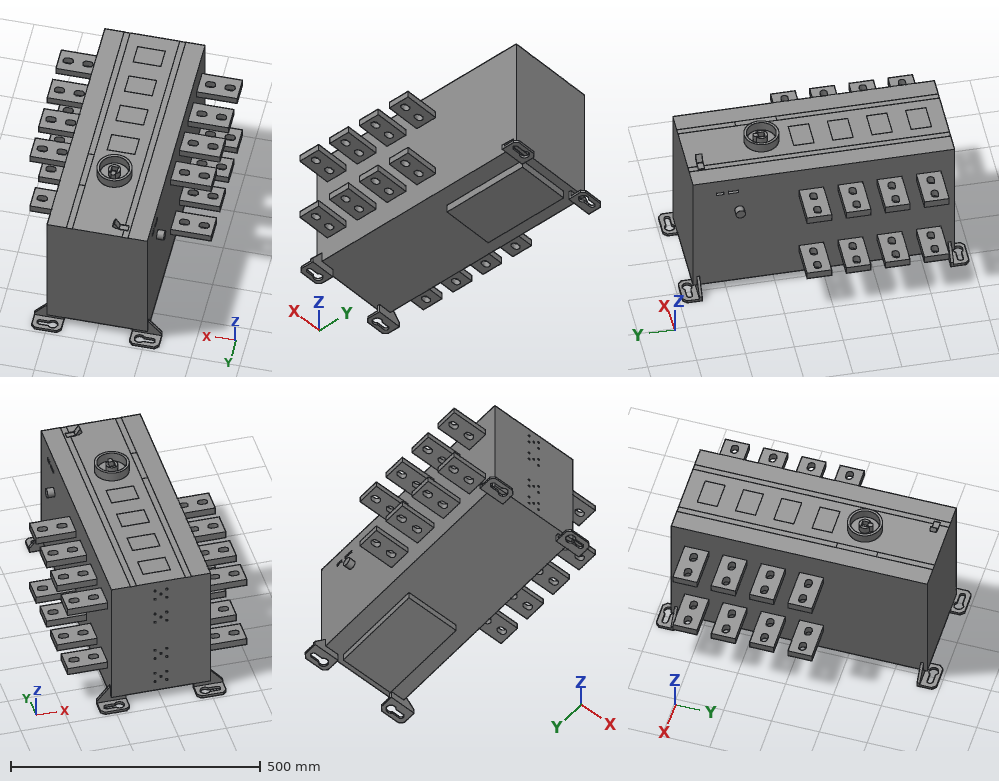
import cadquery as cq

overall_width = 372.5
overall_length = 586.0
overall_height = 314.5

housing_width = 206.0
housing_length = 535.5
housing_bottom = 20.0
knob_height = 20.0
housing_top = overall_height - knob_height
housing_mid_z = (housing_top + housing_bottom) / 2
side_x = housing_width / 2
end_y = housing_length / 2

base_width = 124.0
base_front_y = 45.0
base_back_y = 248.0
base_bottom = 2.0

pole_count = 4
pole_span = 240.0
pole_pitch = pole_span / (pole_count - 1)
first_pole_y = 26.0
pole_ys = [first_pole_y - i * pole_pitch for i in range(pole_count)]
bar_width = 50.5
bar_thickness = 15.0
bar_level_offset = 75.5
bar_slot_length = 20.5
bar_slot_width = 14.0
bar_slot_pitch = 40.5
bar_slot_end_distance = 20.0
bar_slot_outer_x = overall_width / 2 - bar_slot_end_distance
bar_slot_inner_x = bar_slot_outer_x - bar_slot_pitch

mark_depth = 0.5
window_width = 57.0
window_length = 41.5
groove_inner_x = 51.0
groove_outer_x = 63.0
groove_width = groove_outer_x - groove_inner_x
groove_mid_x = (groove_inner_x + groove_outer_x) / 2
insert_front_y = 65.0
insert_back_y = 149.5
insert_height = mark_depth / 2

knob_y = 107.0
collar_diameter = 70.5
collar_bore = 60.0
shaft_diameter = 24.0
shaft_height = 15.0
shaft_socket = 13.0
shaft_socket_depth = 12.0
key_width = 9.5
key_reach = 17.0
key_height = 16.5

latch_y = 241.5
latch_width = 13.0
latch_recess_left_x = -58.5
latch_foot_x = -40.5
latch_tip_x = -27.0
latch_tip_height = 4.5
latch_crown_x = -31.0
latch_height = 14.0
latch_thickness = 7.0
latch_recess_depth = 2.0

button_diameter = 19.5
button_length = 14.5
button_y = 173.0
button_z = 210.5
indicator_height = 6.0
indicator_depth = 9.0
indicator_z = 260.0
indicators = [(212.0, 14.5), (184.5, 20.5)]

hole_diameter = 4.0
hole_depth = 6.0
hole_offset_x = 12.5
hole_offset_z = 10.5
cluster_offsets_z = (46.5, 105.0)

foot_outer_x = 130.5
foot_width = 60.5
foot_inner_x = foot_outer_x - foot_width
foot_thickness = 6.0
foot_outer_y = overall_length / 2
upright_inner_y = 254.5
upright_edge_height = 11.0
upright_height = 43.0
foot_corner = 7.5
keyhole_x = 89.0
keyhole_y = 277.0
keyhole_diameter = 20.0
keyhole_slot_width = 12.0
keyhole_tip_x = 121.5


def box(x0, x1, y0, y1, z0, z1):
    """Block between opposite corners."""
    return cq.Workplane("XY").box(x1 - x0, y1 - y0, z1 - z0, centered=False).translate((x0, y0, z0))


def make_housing():
    shell = box(-side_x, side_x, -end_y, end_y, housing_bottom, housing_top)
    base = box(-base_width / 2, base_width / 2, base_front_y, base_back_y, base_bottom, housing_bottom)
    return shell.union(base)


def make_terminal_bars(level_z):
    """One bar per pole running right through the housing, slotted at both ends."""
    slot_xs = [side * x for side in (-1, 1) for x in (bar_slot_outer_x, bar_slot_inner_x)]
    bars = (
        cq.Workplane("XY", origin=(0, 0, level_z))
        .pushPoints([(0, y) for y in pole_ys])
        .box(overall_width, bar_width, bar_thickness)
    )
    slots = (
        cq.Workplane("XY", origin=(0, 0, level_z - bar_thickness / 2))
        .pushPoints([(x, y) for x in slot_xs for y in pole_ys])
        .slot2D(bar_slot_length, bar_slot_width)
        .extrude(bar_thickness)
    )
    return bars.cut(slots)


def make_lid_marks():
    """Shallow pockets in the lid: pole windows and the two grooves."""
    lid = cq.Workplane("XY", origin=(0, 0, housing_top))
    windows = (
        lid.pushPoints([(0, y) for y in pole_ys])
        .rect(window_width, window_length)
        .extrude(-mark_depth)
    )
    grooves = (
        lid.pushPoints([(-groove_mid_x, 0), (groove_mid_x, 0)])
        .rect(groove_width, housing_length)
        .extrude(-mark_depth)
    )
    insert_bottom = housing_top - mark_depth
    insert = box(
        groove_inner_x, groove_outer_x,
        insert_front_y, insert_back_y,
        insert_bottom, insert_bottom + insert_height,
    )
    return windows.union(grooves).cut(insert)


def make_knob():
    """Collar around a shaft with a square socket and a round-ended key."""
    lid = cq.Workplane("XY", origin=(0, knob_y, housing_top))
    collar = lid.circle(collar_diameter / 2).circle(collar_bore / 2).extrude(knob_height)
    shaft = lid.circle(shaft_diameter / 2).extrude(shaft_height)
    key_start = shaft_socket / 2
    key_tip_y = key_reach - key_width / 2
    key = (
        lid.center(0, (key_start + key_tip_y) / 2)
        .rect(key_width, key_tip_y - key_start)
        .extrude(key_height)
    )
    key_tip = lid.center(0, key_tip_y).circle(key_width / 2).extrude(key_height)
    shaft_top = lid.workplane(offset=shaft_height)
    socket = shaft_top.rect(shaft_socket, shaft_socket).extrude(-shaft_socket_depth)
    return collar.union(shaft.union(key).union(key_tip).cut(socket))


def make_latch_recess():
    return box(
        latch_recess_left_x, latch_foot_x,
        latch_y - latch_width / 2, latch_y + latch_width / 2,
        housing_top - latch_recess_depth, housing_top,
    )


def make_latch():
    """Slanted lever that hooks down at its +X tip."""
    foot_z = housing_top - latch_recess_depth
    heel_x = latch_foot_x + latch_thickness
    return (
        cq.Workplane("XZ", origin=(0, latch_y, 0))
        .moveTo(heel_x, foot_z)
        .lineTo(latch_foot_x, foot_z)
        .lineTo(latch_foot_x, housing_top)
        .lineTo(latch_crown_x, housing_top + latch_height)
        .lineTo(latch_tip_x, housing_top + latch_tip_height)
        .lineTo(heel_x, housing_top)
        .close()
        .extrude(latch_width / 2, both=True)
    )


def make_button():
    return (
        cq.Workplane("YZ", origin=(-side_x, 0, 0))
        .center(button_y, button_z)
        .circle(button_diameter / 2)
        .extrude(-button_length)
    )


def make_indicator_slot(centre_y, length):
    return (
        cq.Workplane("YZ", origin=(-side_x, 0, 0))
        .center(centre_y, indicator_z)
        .rect(length, indicator_height)
        .extrude(indicator_depth)
    )


def make_end_holes():
    pattern = [(0, 0)] + [(sx * hole_offset_x, sz * hole_offset_z) for sx in (-1, 1) for sz in (-1, 1)]
    cluster_zs = [housing_mid_z + side * offset for side in (-1, 1) for offset in cluster_offsets_z]
    return (
        cq.Workplane("XZ", origin=(0, -end_y, 0))
        .pushPoints([(x, z + cluster_z) for cluster_z in cluster_zs for x, z in pattern])
        .circle(hole_diameter / 2)
        .extrude(-hole_depth)
    )


def make_foot():
    """Angle bracket at the +X, +Y corner: keyholed flange and sloped upright."""
    flange = box(foot_inner_x, foot_outer_x, upright_inner_y, foot_outer_y, 0, foot_thickness)
    flange = flange.edges("|Z and >Y").chamfer(foot_corner)

    slot_end_x = keyhole_tip_x - keyhole_slot_width / 2
    plan = cq.Workplane("XY")
    keyhole = (
        plan.center(keyhole_x, keyhole_y).circle(keyhole_diameter / 2).extrude(foot_thickness)
        .union(plan.center(slot_end_x, keyhole_y).circle(keyhole_slot_width / 2).extrude(foot_thickness))
        .union(
            plan.center((keyhole_x + slot_end_x) / 2, keyhole_y)
            .rect(slot_end_x - keyhole_x, keyhole_slot_width)
            .extrude(foot_thickness)
        )
    )

    upright_outline = [
        (foot_inner_x, 0),
        (foot_outer_x, 0),
        (foot_outer_x, upright_edge_height),
        (side_x, upright_height),
        (foot_inner_x, upright_height),
    ]
    upright = (
        cq.Workplane("XZ", origin=(0, upright_inner_y, 0))
        .polyline(upright_outline)
        .close()
        .extrude(-foot_thickness)
    )
    return flange.cut(keyhole).union(upright)


def make_feet():
    foot = make_foot()
    back_pair = foot.union(foot.mirror("YZ"))
    return back_pair.union(back_pair.mirror("XZ"))


result = make_housing().cut(make_lid_marks()).cut(make_latch_recess()).cut(make_end_holes())
for slot_y, slot_length in indicators:
    result = result.cut(make_indicator_slot(slot_y, slot_length))

for level in (-bar_level_offset, bar_level_offset):
    result = result.union(make_terminal_bars(housing_mid_z + level))
result = result.union(make_knob()).union(make_latch()).union(make_button()).union(make_feet())